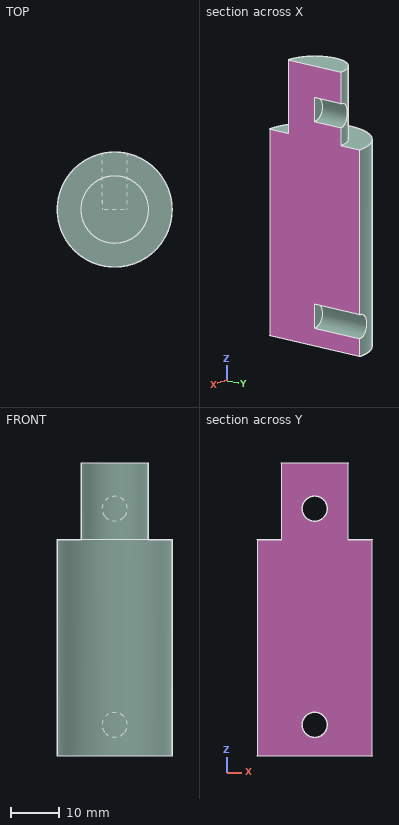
import cadquery as cq

total_length = 61.0
body_diameter = 24.0
spigot_diameter = 14.0
spigot_length = 16.0
body_length = total_length - spigot_length

hole_diameter = 5.2
lower_hole_height = 6.5
upper_hole_from_top = 9.5
upper_hole_height = total_length - upper_hole_from_top


def radial_hole(height):
    """Cutter running from the pin axis outward past the +Y side of the body."""
    return (
        cq.Workplane("XZ", origin=(0, 0, height))
        .circle(hole_diameter / 2)
        .extrude(-body_diameter)
    )


body = cq.Workplane("XY").circle(body_diameter / 2).extrude(body_length)
spigot = (
    cq.Workplane("XY", origin=(0, 0, body_length))
    .circle(spigot_diameter / 2)
    .extrude(spigot_length)
)
result = body.union(spigot)

for hole_height in (lower_hole_height, upper_hole_height):
    result = result.cut(radial_hole(hole_height))